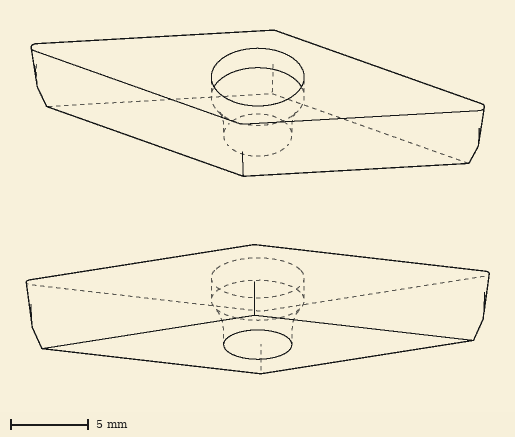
import cadquery as cq
import math

inscribed_diameter = 9.523
thickness = 4.75
corner_angle = math.radians(35)
relief_angle = math.radians(7)
nose_radius = 0.4
cone_tip_radius = 0.005

hole_diameter = 4.38
seat_diameter = 5.98
seat_depth = 1.6
seat_curve_radius = 3.42


def rhombus_points(inscribed_radius):
    """Corners of the rhombus, starting at the sharp corner on the -X, -Y side."""
    side = 2 * inscribed_radius / math.sin(corner_angle)
    sharp_x = side * (1 + math.cos(corner_angle)) / 2
    blunt_x = side - sharp_x
    return [
        (-sharp_x, -inscribed_radius),
        (blunt_x, -inscribed_radius),
        (sharp_x, inscribed_radius),
        (-blunt_x, inscribed_radius),
    ]


def make_body():
    """Rhombic frustum whose four flanks lean inward by the relief angle."""
    top_radius = inscribed_diameter / 2
    bottom_radius = top_radius - thickness * math.tan(relief_angle)
    return (
        cq.Workplane("XY")
        .polyline(rhombus_points(top_radius))
        .close()
        .workplane(offset=-thickness)
        .polyline(rhombus_points(bottom_radius))
        .close()
        .loft(ruled=True)
    )


def make_corner_trim(corner, inner_angle, outward):
    """Material outside a conical corner, which shrinks almost to a point on the flank edge.

    The outward direction points away from the part along the corner's bisector.
    """
    center_distance = nose_radius / math.sin(inner_angle / 2)
    center_x = corner[0] - center_distance * math.cos(outward)
    center_y = corner[1] - center_distance * math.sin(outward)
    cone_height = nose_radius / math.tan(relief_angle)

    half_sector = (math.pi - inner_angle) / 2
    reach = 2 * center_distance
    sector_points = [(center_x, center_y)]
    for turn in (-half_sector, 0, half_sector):
        direction = outward + turn
        sector_points.append(
            (center_x + reach * math.cos(direction), center_y + reach * math.sin(direction))
        )
    sector = cq.Workplane("XY").polyline(sector_points).close().extrude(-cone_height)
    cone = cq.Solid.makeCone(
        nose_radius,
        cone_tip_radius,
        cone_height,
        pnt=cq.Vector(center_x, center_y, 0),
        dir=cq.Vector(0, 0, -1),
    )
    return sector.cut(cq.Workplane(cone))


def make_screw_hole():
    """Cylindrical seat that curves down smoothly into the through hole."""
    hole_radius = hole_diameter / 2
    seat_radius = seat_diameter / 2
    curve_center_x = hole_radius + seat_curve_radius
    sweep = math.acos((curve_center_x - seat_radius) / seat_curve_radius)
    curve_end_z = -seat_depth - seat_curve_radius * math.sin(sweep)
    curve_middle = (
        curve_center_x - seat_curve_radius * math.cos(sweep / 2),
        curve_end_z + seat_curve_radius * math.sin(sweep / 2),
    )
    return (
        cq.Workplane("XZ")
        .moveTo(0, 0)
        .lineTo(seat_radius, 0)
        .lineTo(seat_radius, -seat_depth)
        .threePointArc(curve_middle, (hole_radius, curve_end_z))
        .lineTo(hole_radius, -thickness)
        .lineTo(0, -thickness)
        .close()
        .revolve(360, (0, 0, 0), (0, 1, 0))
    )


corners = rhombus_points(inscribed_diameter / 2)
sharp_outward = math.pi + corner_angle / 2
blunt_outward = sharp_outward + math.pi / 2
corner_trims = [
    make_corner_trim(corners[0], corner_angle, sharp_outward),
    make_corner_trim(corners[1], math.pi - corner_angle, blunt_outward),
]

result = make_body()
for corner_trim in corner_trims:
    for half_turn in (0, 180):
        result = result.cut(corner_trim.rotate((0, 0, 0), (0, 0, 1), half_turn))
result = result.cut(make_screw_hole())